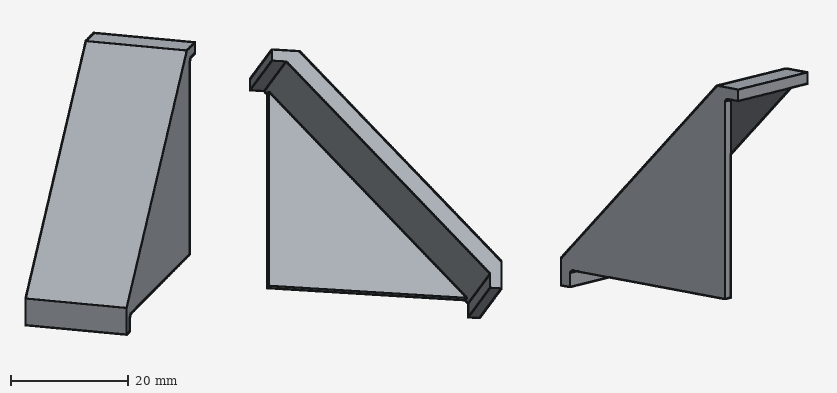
import cadquery as cq

width = 18.0
size = 40.0
lip_thickness = 2.0
outer_lip_length = 4.8
inner_lip_length = 2.5

web_thickness = 1.5
web_inset = 3.0

cover_profile = [
    (0, 0),
    (0, outer_lip_length),
    (size - outer_lip_length, size),
    (size, size),
    (size, size - lip_thickness),
    (size - inner_lip_length, size - lip_thickness),
    (lip_thickness, inner_lip_length),
    (lip_thickness, 0),
]
cover = cq.Workplane("YZ").polyline(cover_profile).close().extrude(width / 2, both=True)

slope_rise = inner_lip_length - lip_thickness
web_corner = size - web_inset
web_profile = [
    (web_inset - slope_rise, web_inset),
    (web_corner, web_inset),
    (web_corner, web_corner + slope_rise),
]
web = (
    cq.Workplane("YZ", origin=(width / 2 - web_thickness, 0, 0))
    .polyline(web_profile)
    .close()
    .extrude(web_thickness)
)

result = cover.union(web)